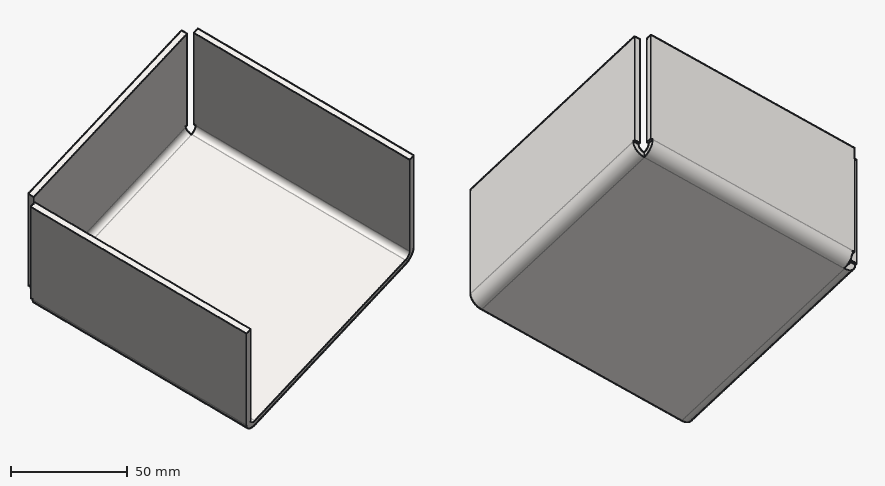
import cadquery as cq


length_x = 120.0
width_y = 120.0
height = 70.0
thickness = 3.0
inner_bend_radius = 3.0
corner_gap = 2.0

bend_radius = inner_bend_radius + thickness
wall_inset = thickness + corner_gap
floor_length = length_x - bend_radius
floor_width = width_y - 2 * bend_radius
side_wall_length = length_x - wall_inset
end_wall_width = width_y - 2 * wall_inset
wall_height = height - bend_radius

x_end = -length_x / 2
x_open = length_x / 2
y_side = width_y / 2


def box_from(corner, size):
    """Axis-aligned box with its lowest corner at the given point."""
    return cq.Workplane("XY").box(*size, centered=False).translate(corner)


def quarter_bend(bend_length):
    """Bend along +Y that turns from a floor on its +X side up to a wall at X = 0."""
    return (
        cq.Workplane("XZ", origin=(bend_radius, 0, bend_radius))
        .moveTo(-bend_radius, 0)
        .radiusArc((0, -bend_radius), -bend_radius)
        .lineTo(0, -inner_bend_radius)
        .radiusArc((-inner_bend_radius, 0), inner_bend_radius)
        .close()
        .extrude(-bend_length)
    )


def floor():
    corner = (x_end + bend_radius, -floor_width / 2, 0)
    return box_from(corner, (floor_length, floor_width, thickness))


def end_flange():
    """Wall and bend on the -X side."""
    corner = (x_end, -end_wall_width / 2, bend_radius)
    wall = box_from(corner, (thickness, end_wall_width, wall_height))
    bend = quarter_bend(floor_width).translate((x_end, -floor_width / 2, 0))
    return wall.union(bend)


def side_flange():
    """Wall and bend on the -Y side."""
    corner = (x_open - side_wall_length, -y_side, bend_radius)
    wall = box_from(corner, (side_wall_length, thickness, wall_height))
    bend = (
        quarter_bend(floor_length)
        .rotate((0, 0, 0), (0, 0, 1), 90)
        .translate((x_open, -y_side, 0))
    )
    return wall.union(bend)


front_side = side_flange()
back_side = front_side.mirror("XZ")

result = floor().union(end_flange()).union(front_side).union(back_side)